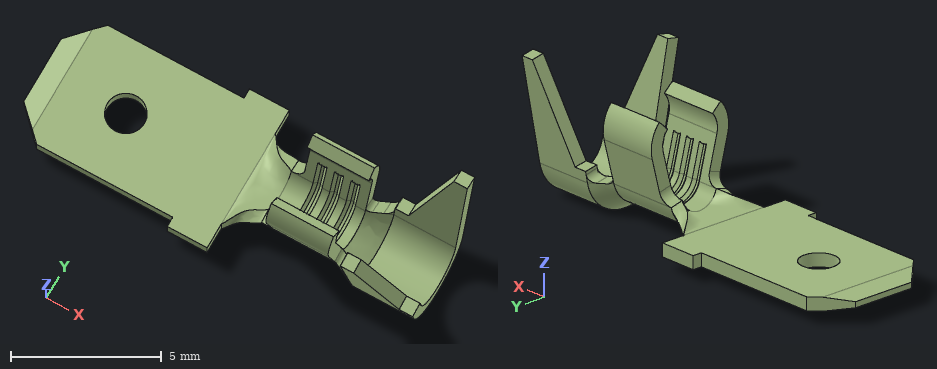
import cadquery as cq
import math

length = 15.11
overall_height = 5.55
sheet = 0.51

blade_width = 4.8
shoulder_width = 5.55
shoulder_start = 6.33
blade_end = 7.85
tip_width = 2.51
tip_corner_length = 1.15
tip_bevel_length = 0.77
tip_thickness = 0.23
hole_diameter = 1.4
hole_x = 3.19

wire_start = 9.52
wire_end = 11.89
wire_radius = 0.79
wire_lean = 14.5
wing_bend_z = 2.69
wing_bend_radius = 1.35
wing_curl = 43.0
wing_gusset_radius = 0.45
trough_start = wire_start - wing_gusset_radius

serration_count = 3
serration_pitch = 0.63
serration_width = 0.35
serration_floor = 0.1
serration_depth = 0.1
serration_wall_height = 1.28

barrel_start = 12.75
barrel_radius = 1.18
barrel_lean = 11.0
ear_tip_z = overall_height - sheet
ear_tip_length = 0.51
ear_foot_height = 0.44

notch_wall_height = 0.33
notch_wire_fillet = 0.21
notch_barrel_fillet = 0.3

neck_root_width = 3.63
neck_stations = [(8.16, 4.08, 20.0), (8.46, 1.62, 42.0), (8.76, 1.1, 57.0)]

wire_center_z = sheet + wire_radius
barrel_center_z = barrel_radius

corner_sag = 1 - math.sqrt(0.5)


def trough_outline(x, radius, center_z, half_angle, wall=0.0):
    """Closed outline at x of a sheet bent round an arc, with straight walls tangent to its ends."""
    turn = math.radians(half_angle)

    def point(r, run):
        y = r * math.sin(turn) + run * math.cos(turn)
        z = center_z - r * math.cos(turn) + run * math.sin(turn)
        return (y, z)

    def flipped(p):
        return (-p[0], p[1])

    outer = radius + sheet
    outer_foot, inner_foot = point(outer, 0), point(radius, 0)
    outline = cq.Workplane("YZ", origin=(x, 0, 0)).moveTo(*flipped(outer_foot))
    outline = outline.threePointArc((0, center_z - outer), outer_foot)
    if wall:
        outline = outline.lineTo(*point(outer, wall))
        outline = outline.lineTo(*point(radius, wall))
    outline = outline.lineTo(*inner_foot)
    outline = outline.threePointArc((0, center_z - radius), flipped(inner_foot))
    if wall:
        outline = outline.lineTo(*flipped(point(radius, wall)))
        outline = outline.lineTo(*flipped(point(outer, wall)))
    return outline.close()


def wall_plane(radius, center_z, lean):
    """Inner face of the -Y wall: local x along X, local y up the wall, normal outward."""
    tilt = math.radians(lean)
    foot = (0, -radius * math.cos(tilt), center_z - radius * math.sin(tilt))
    return cq.Plane(origin=foot, xDir=(1, 0, 0), normal=(0, -math.cos(tilt), -math.sin(tilt)))


def with_mirror(body):
    return body.union(body.mirror("XZ"))


def loft(outlines, ruled):
    return cq.Workplane(cq.Solid.makeLoft([outline.val() for outline in outlines], ruled))


def make_blade():
    """Flat tab with clipped, bevelled tip corners, a shoulder and a latch hole."""
    half_tip, half_blade, half_shoulder = tip_width / 2, blade_width / 2, shoulder_width / 2
    edge = [
        (0, half_tip),
        (tip_corner_length, half_blade),
        (shoulder_start, half_blade),
        (shoulder_start, half_shoulder),
        (blade_end, half_shoulder),
    ]
    outline = edge + [(x, -y) for x, y in reversed(edge)]
    plate = cq.Workplane("XY").polyline(outline).close().extrude(sheet)

    tip_low = (sheet - tip_thickness) / 2
    tip_high = sheet - tip_low
    profile = [
        (0, tip_low),
        (tip_bevel_length, 0),
        (blade_end, 0),
        (blade_end, sheet),
        (tip_bevel_length, sheet),
        (0, tip_high),
    ]
    bevel = cq.Workplane("XZ").polyline(profile).close().extrude(half_shoulder, both=True)
    hole = cq.Workplane("XY").center(hole_x, 0).circle(hole_diameter / 2).extrude(sheet)
    return plate.intersect(bevel).cut(hole)


def make_neck():
    """Smooth blend from the flat sheet at the blade to the trough of the wire crimp."""
    root = cq.Workplane("YZ", origin=(blade_end, 0, 0)).moveTo(-neck_root_width / 2, 0)
    root = root.lineTo(neck_root_width / 2, 0)
    root = root.lineTo(neck_root_width / 2, sheet)
    root = root.lineTo(-neck_root_width / 2, sheet).close()
    outlines = [root]
    for x, radius, half_angle in neck_stations:
        outlines.append(trough_outline(x, radius, sheet + radius, half_angle))
    outlines.append(trough_outline(trough_start, wire_radius, wire_center_z, 90 - wire_lean))
    return loft(outlines, False)


def make_wing():
    """-Y wing: a leaning wall whose top curls back toward the middle."""
    tilt, curl = math.radians(wire_lean), math.radians(wing_curl)
    mid = (curl - tilt) / 2
    outer_radius = wire_radius + sheet
    foot_y = outer_radius * math.cos(tilt)
    foot_z = wire_center_z - outer_radius * math.sin(tilt)
    bend_y = foot_y + (wing_bend_z - foot_z) * math.tan(tilt)
    center_y = bend_y - wing_bend_radius * math.cos(tilt)
    center_z = wing_bend_z + wing_bend_radius * math.sin(tilt)
    inner_bend = wing_bend_radius - sheet

    def bend_point(r, angle):
        return (-center_y - r * math.cos(angle), center_z + r * math.sin(angle))

    outline = (
        cq.Workplane("YZ", origin=(wire_start, 0, 0))
        .moveTo(-foot_y, foot_z)
        .lineTo(*bend_point(wing_bend_radius, -tilt))
        .threePointArc(bend_point(wing_bend_radius, mid), bend_point(wing_bend_radius, curl))
        .lineTo(*bend_point(inner_bend, curl))
        .threePointArc(bend_point(inner_bend, mid), bend_point(inner_bend, -tilt))
        .lineTo(-wire_radius * math.cos(tilt), wire_center_z - wire_radius * math.sin(tilt))
        .close()
    )
    return outline.extrude(wire_end - wire_start)


def make_wing_gusset():
    """Concave fillet from the edge of the neck up to the front of the -Y wing."""
    r = wing_gusset_radius
    sag = r * corner_sag
    return (
        cq.Workplane(wall_plane(wire_radius, wire_center_z, wire_lean))
        .moveTo(trough_start, 0)
        .lineTo(wire_start, 0)
        .lineTo(wire_start, r)
        .threePointArc((wire_start - sag, sag), (trough_start, 0))
        .close()
        .extrude(sheet)
    )


def serration_outline(x, depth):
    """Filled U following the inside of the wire crimp, offset outward by depth."""
    tilt = math.radians(wire_lean)
    r = wire_radius + depth
    foot = (r * math.cos(tilt), wire_center_z - r * math.sin(tilt))
    run = serration_wall_height
    top = (foot[0] + run * math.sin(tilt), foot[1] + run * math.cos(tilt))
    return (
        cq.Workplane("YZ", origin=(x, 0, 0))
        .moveTo(-top[0], top[1])
        .lineTo(-foot[0], foot[1])
        .threePointArc((0, wire_center_z - r), foot)
        .lineTo(*top)
        .close()
    )


def make_serration(x):
    half_top, half_floor = serration_width / 2, serration_floor / 2
    outlines = [
        serration_outline(x - half_top, 0),
        serration_outline(x - half_floor, serration_depth),
        serration_outline(x + half_floor, serration_depth),
        serration_outline(x + half_top, 0),
    ]
    return loft(outlines, True)


def make_wire_crimp():
    trough = trough_outline(trough_start, wire_radius, wire_center_z, 90 - wire_lean)
    trough = trough.extrude(wire_end - trough_start)
    crimp = trough.union(with_mirror(make_wing())).union(with_mirror(make_wing_gusset()))
    middle = (wire_start + wire_end) / 2
    for index in range(serration_count):
        offset = (index - (serration_count - 1) / 2) * serration_pitch
        crimp = crimp.cut(make_serration(middle + offset))
    return crimp


def make_link():
    """Flared trough joining the crimps, its walls lowered by a notch with rounded ends."""
    flare = loft(
        [
            trough_outline(wire_end, wire_radius, wire_center_z, 90 - wire_lean, notch_wall_height),
            trough_outline(barrel_start, barrel_radius, barrel_center_z, 90 - barrel_lean, notch_wall_height),
        ],
        True,
    )
    wire_r, barrel_r = notch_wire_fillet, notch_barrel_fillet
    wire_sag = wire_r * corner_sag
    barrel_sag = barrel_r * corner_sag
    clearance = 2 * notch_wall_height
    mean_radius = (wire_radius + barrel_radius) / 2
    mean_center_z = (wire_center_z + barrel_center_z) / 2
    mean_lean = (wire_lean + barrel_lean) / 2
    notch = (
        cq.Workplane(wall_plane(mean_radius, mean_center_z, mean_lean))
        .moveTo(wire_end, clearance)
        .lineTo(wire_end, wire_r)
        .threePointArc((wire_end + wire_sag, wire_sag), (wire_end + wire_r, 0))
        .lineTo(barrel_start - barrel_r, 0)
        .threePointArc((barrel_start - barrel_sag, barrel_sag), (barrel_start, barrel_r))
        .lineTo(barrel_start, clearance)
        .close()
        .extrude(2 * sheet, both=True)
    )
    return flare.cut(with_mirror(notch))


def make_ear():
    """-Y ear: tallest at the front of the barrel, tapering to a low foot at the rear."""
    plane = wall_plane(barrel_radius, barrel_center_z, barrel_lean)
    height = (ear_tip_z - plane.origin.z) / math.cos(math.radians(barrel_lean))
    outline = [
        (barrel_start, 0),
        (length, 0),
        (length, ear_foot_height),
        (length - ear_tip_length, ear_foot_height),
        (barrel_start + ear_tip_length, height),
        (barrel_start, height),
    ]
    return cq.Workplane(plane).polyline(outline).close().extrude(sheet)


def make_insulation_crimp():
    barrel = trough_outline(barrel_start, barrel_radius, barrel_center_z, 90 - barrel_lean)
    barrel = barrel.extrude(length - barrel_start)
    middle = (barrel_start + length) / 2
    ear = make_ear()
    opposite_ear = ear.rotate((middle, 0, 0), (middle, 0, 1), 180)
    return barrel.union(ear).union(opposite_ear)


result = make_blade()
for section in (make_neck(), make_wire_crimp(), make_link(), make_insulation_crimp()):
    result = result.union(section)